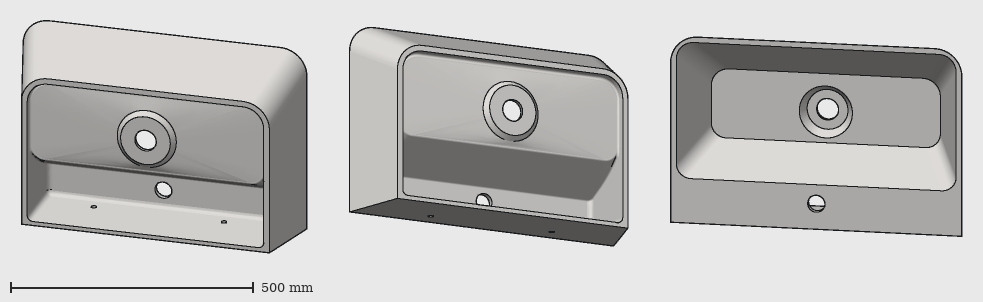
import cadquery as cq


depth = 143.0
rear_width = 610.0
rear_height = 400.0
front_width = 532.5
front_height = 333.0
outer_corner = 57.5

rim = 12.0
rim_bottom = 9.0
ledge_thickness = 12.0
cavity_depth = depth - ledge_thickness
cavity_draft = 7.0
cavity_corner = outer_corner - rim
cavity_bottom_corner = 12.0
cavity_fillet = 10.0

floor_y = 16.5
floor_bottom = 141.5
bowl_back_bottom = 80.0
bowl_corner = 30.5
bowl_edge_fillet = 3.5
ledge_fillet = 3.5

bowl_wall = 12.0
bowl_back_wall = 16.0
bowl_bottom_y = floor_y + bowl_wall
bowl_inner_corner = 36.5

drain_z = 219.5
drain_diameter = 46.0
boss_base_diameter = 127.0
boss_top_diameter = 107.0
boss_base_y = 10.0
drain_wall = 8.5
drain_recess_diameter = 85.5

tap_z = 55.0
tap_diameter = 36.0
mount_x = 139.5
mount_y = 98.0
mount_diameter = 11.0
mount_hole_length = 30.5


def along(start, end, y):
    """Linear value at depth y, given its values at the front and rear of the body."""
    return start + (end - start) * y / depth


def outline(y, width, bottom, top, top_radius, bottom_radius=0.0):
    """Upright rectangle at depth y with separately rounded top and bottom corners."""
    sketch = (
        cq.Sketch()
        .push([(0, (bottom + top) / 2)])
        .rect(width, top - bottom)
        .reset()
        .vertices(">Y")
        .fillet(top_radius)
    )
    if bottom_radius:
        sketch = sketch.reset().vertices("<Y").fillet(bottom_radius)
    wire = sketch.reset().faces().val().outerWire()
    return wire.rotate(cq.Vector(), cq.Vector(1, 0, 0), 90).translate(cq.Vector(0, y, 0))


def loft(*wires):
    return cq.Workplane(cq.Solid.makeLoft(list(wires), True))


def circle(y, diameter):
    return cq.Wire.makeCircle(diameter / 2, cq.Vector(0, y, drain_z), cq.Vector(0, 1, 0))


def drill(diameter, z):
    """Cylinder along Y through the whole depth."""
    return cq.Workplane(
        cq.Solid.makeCylinder(diameter / 2, depth, cq.Vector(0, 0, z), cq.Vector(0, 1, 0))
    )


def make_body():
    return loft(
        outline(0, front_width, 0, front_height, outer_corner),
        outline(depth, rear_width, 0, rear_height, outer_corner),
    )


def make_cavity():
    width = front_width - 2 * rim
    top = front_height - rim
    cavity = loft(
        outline(0, width, rim_bottom, top, cavity_corner, cavity_bottom_corner),
        outline(
            cavity_depth,
            width - 2 * cavity_draft,
            rim_bottom + cavity_draft,
            top - cavity_draft,
            cavity_corner,
            cavity_bottom_corner,
        ),
    )
    return cavity.faces(">Y").edges().fillet(cavity_fillet)


def make_bowl_outside():
    """Flaring bowl shell, trimmed later by the cavity it stands in."""
    floor_width = along(front_width, rear_width, floor_y) - 2 * rim - 2 * cavity_draft
    floor_top = front_height - rim - cavity_draft
    rear_spread = rear_width - 2 * rim
    rear_top = rear_height - rim
    bowl = loft(
        outline(floor_y, floor_width, floor_bottom, floor_top, cavity_corner, bowl_corner),
        outline(depth, rear_spread, bowl_back_bottom, rear_top, cavity_corner, bowl_corner),
    )
    return bowl.faces("<Y").edges().fillet(bowl_edge_fillet)


def make_floor_dome():
    """Shallow rise of the bowl floor towards the drain, with the boss on top."""
    inset = 2 * bowl_edge_fillet
    width = along(front_width, rear_width, floor_y) - 2 * rim - 2 * cavity_draft - inset
    top = front_height - rim - cavity_draft - inset / 2
    bottom = floor_bottom + inset / 2
    rise = loft(
        outline(floor_y, width, bottom, top, cavity_corner, bowl_corner),
        circle(boss_base_y, boss_base_diameter),
    )
    boss = loft(circle(boss_base_y, boss_base_diameter), circle(0, boss_top_diameter))
    return rise.union(boss)


def make_bowl_inside():
    inner_width = along(front_width, rear_width, floor_y) - 4 * rim - 2 * cavity_draft
    return loft(
        outline(
            bowl_bottom_y,
            inner_width,
            floor_bottom + bowl_wall,
            front_height - 2 * rim - cavity_draft,
            bowl_inner_corner,
            bowl_corner,
        ),
        outline(
            depth,
            rear_width - 2 * rim,
            bowl_back_bottom + bowl_back_wall,
            rear_height - rim,
            bowl_inner_corner,
            bowl_corner,
        ),
    )


def make_drain_recess():
    """Hollow behind the boss that leaves a thin wall around the drain."""
    return loft(
        circle(drain_wall, drain_recess_diameter),
        circle(bowl_bottom_y + bowl_wall, boss_base_diameter),
    )


def make_mount_holes():
    return (
        cq.Workplane("XY")
        .pushPoints([(-mount_x, mount_y), (mount_x, mount_y)])
        .circle(mount_diameter / 2)
        .extrude(mount_hole_length)
    )


def round_ledge_edge(basin):
    """Fillet the long inside edge where the bowl back meets the tap ledge."""
    search = 9.0
    ledge_edge = cq.selectors.BoxSelector(
        (-search, cavity_depth - search / 2, bowl_back_bottom - search),
        (search, cavity_depth + search / 2, bowl_back_bottom + 2 * search),
    )
    return basin.edges(ledge_edge).fillet(ledge_fillet)


basin = (
    make_body()
    .cut(make_cavity())
    .union(make_bowl_outside())
    .union(make_floor_dome())
)

result = (
    round_ledge_edge(basin)
    .cut(make_bowl_inside())
    .cut(make_drain_recess())
    .cut(drill(drain_diameter, drain_z))
    .cut(drill(tap_diameter, tap_z))
    .cut(make_mount_holes())
)